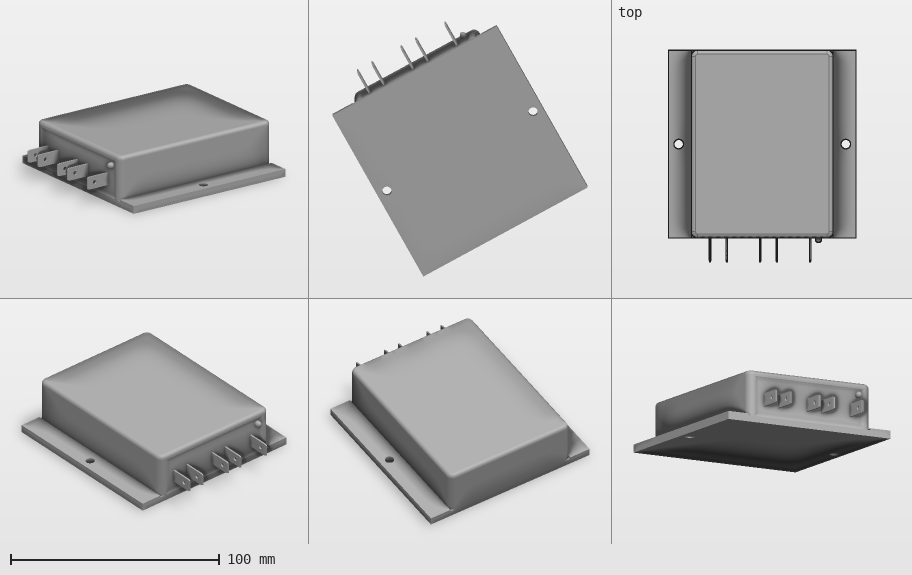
import cadquery as cq

overall_length = 101.6

plate_side = 90.0
plate_thickness = 4.0
mount_hole_diameter = 4.5
mount_hole_offset = 40.0

overall_height = 25.5
housing_width = 68.0
channel_floor = 3.0
corner_radius = 3.0
top_fillet = 1.9

front_y = -plate_side / 2
recess_width = 60.1
recess_top = 22.7
recess_border = 1.8
recess_depth = 0.46

terminal_positions = (-25.0, -17.0, -1.0, 7.0, 23.0)
terminal_z = 11.5
terminal_width = 6.3
terminal_thickness = 0.8
terminal_reach = overall_length - plate_side
tip_length = 1.1
tip_width = 5.5
tip_thickness = 0.4
terminal_hole_diameter = 2.0
terminal_hole_reach = 7.3

lamp_x = 26.9
lamp_z = 19.5
lamp_diameter = 3.0
lamp_collar_reach = 0.66

embed = 1.0


def front_plane(x, z, reach=0.0):
    """Plane facing -Y, at the given distance in front of the front wall."""
    return cq.Workplane(cq.Plane((x, front_y - reach, z), xDir=(1, 0, 0), normal=(0, -1, 0)))


def make_plate():
    plate = cq.Workplane("XY").box(plate_side, plate_side, plate_thickness, centered=(True, True, False))
    channel = (
        cq.Workplane("XY")
        .workplane(offset=channel_floor)
        .rect(housing_width, plate_side)
        .extrude(plate_thickness - channel_floor)
    )
    hole_centres = [(-mount_hole_offset, 0), (mount_hole_offset, 0)]
    holes = cq.Workplane("XY").pushPoints(hole_centres).circle(mount_hole_diameter / 2).extrude(plate_thickness)
    return plate.cut(channel).cut(holes)


def make_housing():
    return (
        cq.Workplane("XY")
        .workplane(offset=channel_floor)
        .rect(housing_width, plate_side)
        .extrude(overall_height - channel_floor)
        .edges("|Z")
        .fillet(corner_radius)
        .faces(">Z")
        .edges()
        .fillet(top_fillet)
    )


def recess_prism(plane, width, length):
    """Long groove whose flat floor curves up tangentially to the wall surface on both sides."""
    border_radius = (recess_border**2 + recess_depth**2) / (2 * recess_depth)
    floor_half = width / 2 - recess_border
    return (
        cq.Workplane(plane)
        .moveTo(-width / 2, 0)
        .radiusArc((-floor_half, -recess_depth), -border_radius)
        .lineTo(floor_half, -recess_depth)
        .radiusArc((width / 2, 0), -border_radius)
        .close()
        .extrude(length / 2, both=True)
    )


def make_recess():
    """The two crossing grooves share only the rectangular recess, with mitred corners."""
    height = recess_top - channel_floor
    centre = (0, front_y, channel_floor + height / 2)
    across = cq.Plane(centre, xDir=(1, 0, 0), normal=(0, 0, -1))
    upright = cq.Plane(centre, xDir=(0, 0, 1), normal=(1, 0, 0))
    return recess_prism(across, recess_width, height).intersect(recess_prism(upright, height, recess_width))


def make_terminal(x):
    shank_reach = terminal_reach - tip_length
    shank = (
        front_plane(x, terminal_z, -embed)
        .rect(terminal_thickness, terminal_width)
        .extrude(embed + shank_reach)
    )
    tip = (
        front_plane(x, terminal_z, shank_reach)
        .rect(terminal_thickness, terminal_width)
        .workplane(offset=tip_length)
        .rect(tip_thickness, tip_width)
        .loft(ruled=True)
    )
    hole = (
        cq.Workplane("YZ", origin=(x, front_y - terminal_hole_reach, terminal_z))
        .circle(terminal_hole_diameter / 2)
        .extrude(terminal_thickness, both=True)
    )
    return shank.union(tip).cut(hole)


def make_lamp():
    collar = front_plane(lamp_x, lamp_z, -embed).circle(lamp_diameter / 2).extrude(embed + lamp_collar_reach)
    dome = front_plane(lamp_x, lamp_z, lamp_collar_reach).sphere(lamp_diameter / 2)
    return collar.union(dome)


result = make_plate().union(make_housing()).cut(make_recess())
for terminal_x in terminal_positions:
    result = result.union(make_terminal(terminal_x))
result = result.union(make_lamp())